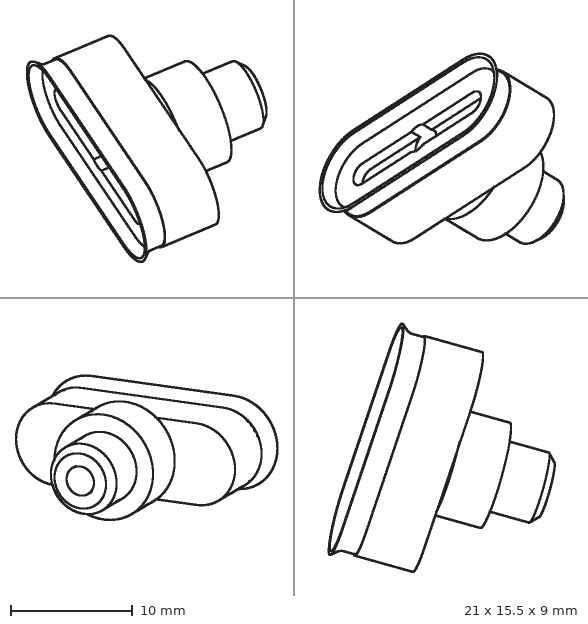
import cadquery as cq
import math

CENTRE_SPACING = 13.0
OVERALL_LENGTH = 21
LIP_RADIUS = (OVERALL_LENGTH - CENTRE_SPACING) / 2
BODY_RADIUS = 3.5
NECK_RADIUS = 3.4

FLARE_END = 1.0
NECK_END = 2.0
BODY_END = 7.0
BOSS_END = 11.09
PIN_END = 15.5

FLARE_ARC_RADIUS = 0.8
FLARE_ANGLE = math.radians(40)
WALL = 0.25

BOSS_DIAMETER = 9.0
PIN_DIAMETER = 6.0
PIN_CHAMFER = 0.65
BORE_DIAMETER = 2.5
SLOT_RADIUS = 1.05
SLOT_DEPTH = 1.0


def stadium(radius, start, end):
    """Solid stadium between two Y positions."""
    return (
        cq.Workplane("XZ", origin=(0, start, 0))
        .slot2D(CENTRE_SPACING + 2 * radius, 2 * radius)
        .extrude(start - end)
    )


def cylinder(diameter, start, end):
    """Solid cylinder about the Y axis between two Y positions."""
    return cq.Workplane("XZ", origin=(0, start, 0)).circle(diameter / 2).extrude(start - end)


def flared_stadium(neck_radius, arc_radius, lip_radius):
    """Solid stadium whose side flares outward at the lip; revolved ends joined by a straight run."""

    def arc_point(angle):
        return (
            neck_radius + arc_radius * (1 - math.cos(angle)),
            FLARE_END - arc_radius * math.sin(angle),
        )

    def half_profile(workplane):
        return (
            workplane.lineTo(lip_radius, 0)
            .lineTo(*arc_point(FLARE_ANGLE))
            .threePointArc(arc_point(FLARE_ANGLE / 2), (neck_radius, FLARE_END))
            .lineTo(0, FLARE_END)
            .close()
        )

    end_cap = half_profile(cq.Workplane("XY")).revolve(360, (0, 0, 0), (0, 1, 0))
    side_plane = cq.Plane(origin=(-CENTRE_SPACING / 2, 0, 0), xDir=(0, 0, -1), normal=(1, 0, 0))
    half_run = half_profile(cq.Workplane(side_plane)).extrude(CENTRE_SPACING)
    return (
        half_run.union(half_run.mirror("XY"))
        .union(end_cap.translate((-CENTRE_SPACING / 2, 0, 0)))
        .union(end_cap.translate((CENTRE_SPACING / 2, 0, 0)))
    )


lip = flared_stadium(NECK_RADIUS, FLARE_ARC_RADIUS, LIP_RADIUS)
neck = stadium(NECK_RADIUS, FLARE_END, NECK_END)
body = stadium(BODY_RADIUS, NECK_END, BODY_END)
boss = cylinder(BOSS_DIAMETER, BODY_END, BOSS_END)
pin = cylinder(PIN_DIAMETER, BOSS_END, PIN_END).faces(">Y").chamfer(PIN_CHAMFER)

pocket = flared_stadium(
    NECK_RADIUS - WALL,
    FLARE_ARC_RADIUS + WALL,
    LIP_RADIUS - WALL / math.cos(FLARE_ANGLE),
)
slot = stadium(SLOT_RADIUS, FLARE_END, FLARE_END + SLOT_DEPTH)
bore = cylinder(BORE_DIAMETER, 0, PIN_END)

result = lip.union(neck).union(body).union(boss).union(pin).cut(pocket).cut(slot).cut(bore)